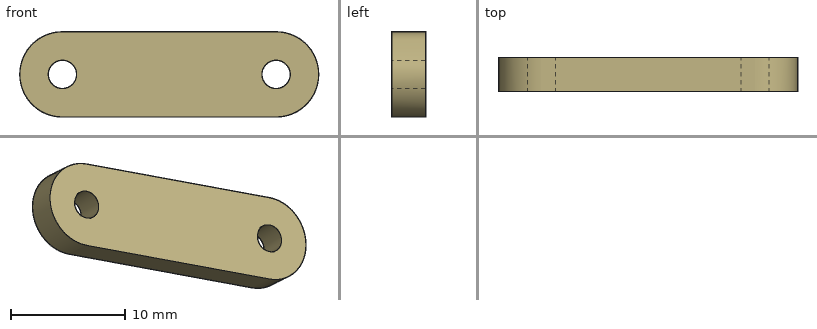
import cadquery as cq

hole_spacing = 18.74
link_height = 7.5
link_thickness = 3.0
hole_diameter = 2.46

link_length = hole_spacing + link_height


def link_plate():
    """Flat bar with full-round ends, centred on the origin."""
    return (
        cq.Workplane("XZ")
        .slot2D(link_length, link_height)
        .extrude(link_thickness / 2, both=True)
    )


def pin_holes():
    """Cylinders for the two through holes, one at each end centre."""
    return (
        cq.Workplane("XZ")
        .pushPoints([(side * hole_spacing / 2, 0) for side in (-1, 1)])
        .circle(hole_diameter / 2)
        .extrude(link_thickness / 2, both=True)
    )


result = link_plate().cut(pin_holes())